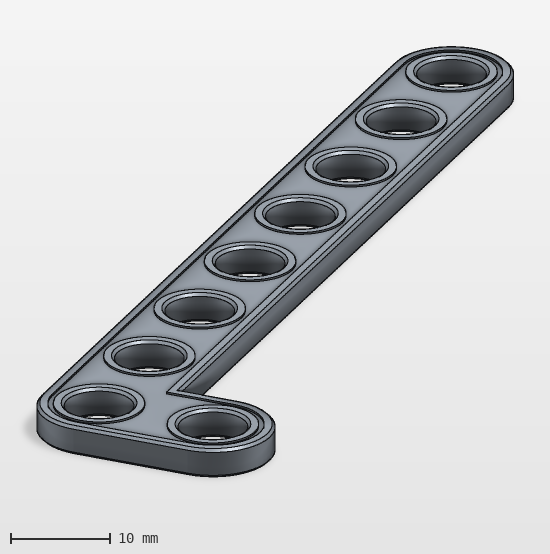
import cadquery as cq

hole_pitch = 12.5
beam_width = 12.5
long_arm_holes = 8
short_arm_holes = 2
hole_diameter = 7.0
ring_diameter = 9.2
edge_chamfer = 0.3
rim_width = 1.1
recess_depth = 0.2

thickness = hole_pitch / 4
end_radius = beam_width / 2
long_arm_span = (long_arm_holes - 1) * hole_pitch
short_arm_span = (short_arm_holes - 1) * hole_pitch

long_arm_centers = [(0, row * hole_pitch) for row in range(long_arm_holes)]
short_arm_centers = [(column * hole_pitch, 0) for column in range(1, short_arm_holes)]
hole_centers = long_arm_centers + short_arm_centers


def l_prism(radius, bottom, height):
    """L-shaped prism with round ends, reaching `radius` from the hole centre lines."""
    return (
        cq.Workplane("XY", origin=(0, 0, bottom))
        .moveTo(0, -radius)
        .lineTo(short_arm_span, -radius)
        .threePointArc((short_arm_span + radius, 0), (short_arm_span, radius))
        .lineTo(radius, radius)
        .lineTo(radius, long_arm_span)
        .threePointArc((0, long_arm_span + radius), (-radius, long_arm_span))
        .lineTo(-radius, 0)
        .radiusArc((0, -radius), -radius)
        .close()
        .extrude(height)
    )


def cylinders(diameter, bottom, height):
    """One cylinder on every hole centre."""
    return (
        cq.Workplane("XY", origin=(0, 0, bottom))
        .pushPoints(hole_centers)
        .circle(diameter / 2)
        .extrude(height)
    )


def recess():
    """Sunken field of the top face, leaving the rim and the hole rings raised."""
    floor = thickness - recess_depth
    field = l_prism(end_radius - rim_width, floor, recess_depth)
    rings = cylinders(ring_diameter, floor, recess_depth)
    return field.cut(rings)


plate = l_prism(end_radius, 0, thickness).cut(cylinders(hole_diameter, 0, thickness))
plate = plate.faces("<Z or >Z").edges().chamfer(edge_chamfer)

result = plate.cut(recess())